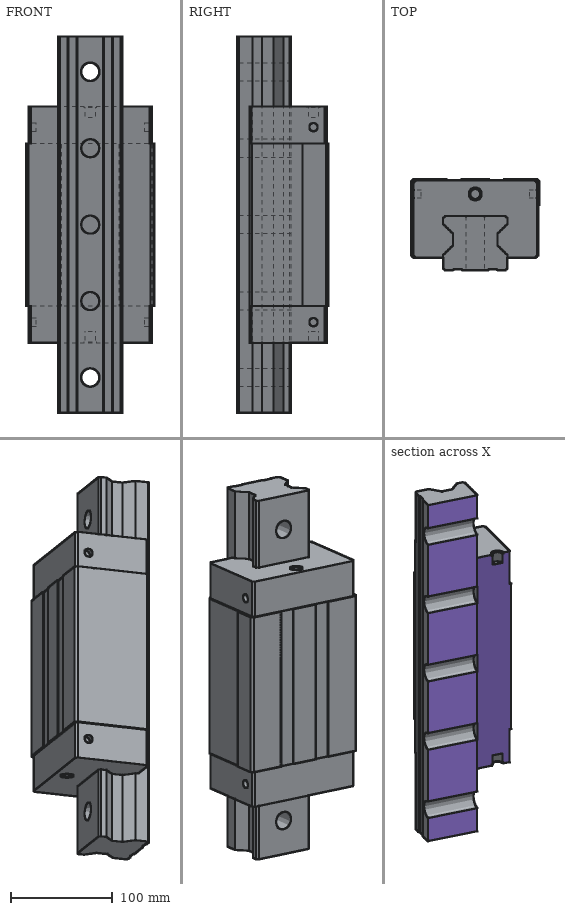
import cadquery as cq


RAIL_LENGTH = 370.0
RAIL_WIDTH = 63.0
RAIL_HEIGHT = 53.3
RAIL_CHAMFER = 2.0
NECK_WIDTH = 43.3
FLANK_BOTTOM = 15.0
NECK_BOTTOM = 24.8
NECK_TOP = 36.0
FLANK_TOP = 45.5

RAIL_GROOVE_OFFSET = 17.5
RAIL_GROOVE_WIDTH = 9.5
RAIL_GROOVE_DEPTH = 0.92

BOLT_HOLE_DIAMETER = 17.8
BOLT_HOLE_COUNT = 5
BOLT_HOLE_PITCH = 75.0

CARRIAGE_BOTTOM = 12.2
CARRIAGE_TOP = 90.0
CARRIAGE_LENGTH = 232.5

BLOCK_WIDTH = 126.0
BLOCK_LENGTH = 160.0
BLOCK_CHAMFER = 2.5

CAP_INSET = 1.5
CAP_WIDTH = 121.5
CAP_CHAMFER = 2.2

TOP_GROOVE_OFFSET = 20.7
TOP_GROOVE_WIDTH = 14.8
TOP_GROOVE_DEPTH = 1.0

RELIEF_DEPTH = 1.0
RELIEF_TOP = 64.5

PORT_Y = 75.0
END_PORT_DIAMETER = 10.0
END_PORT_RIM_DIAMETER = 12.5
END_PORT_RIM_DEPTH = 1.0
END_PORT_DEPTH = 11.0
SIDE_PORT_DIAMETER = 8.0
SIDE_PORT_DEPTH = 7.5
SIDE_PORT_Z = 96.0

SIDES = (-1, 1)


def bar(x_center, width, bottom, top, length):
    """Rectangular bar along Z, centred on Z = 0, between two Y levels."""
    section = cq.Workplane("XY").center(x_center, (bottom + top) / 2).rect(width, top - bottom)
    return section.extrude(length / 2, both=True)


def rail_profile(length):
    """Solid rail section with waisted flanks, without grooves or holes."""
    half_width = RAIL_WIDTH / 2
    half_neck = NECK_WIDTH / 2
    right_side = [
        (half_width - RAIL_CHAMFER, 0),
        (half_width, RAIL_CHAMFER),
        (half_width, FLANK_BOTTOM),
        (half_neck, NECK_BOTTOM),
        (half_neck, NECK_TOP),
        (half_width, FLANK_TOP),
        (half_width, RAIL_HEIGHT - RAIL_CHAMFER),
        (half_width - RAIL_CHAMFER, RAIL_HEIGHT),
    ]
    left_side = [(-x, y) for x, y in reversed(right_side)]
    return cq.Workplane("XY").polyline(right_side + left_side).close().extrude(length / 2, both=True)


def rail_groove(x_center):
    """Shallow groove with 45 degree walls along the mounting face of the rail."""
    half_mouth = RAIL_GROOVE_WIDTH / 2
    half_floor = half_mouth - RAIL_GROOVE_DEPTH
    outline = [
        (x_center - half_mouth, 0),
        (x_center + half_mouth, 0),
        (x_center + half_floor, RAIL_GROOVE_DEPTH),
        (x_center - half_floor, RAIL_GROOVE_DEPTH),
    ]
    return cq.Workplane("XY").polyline(outline).close().extrude(RAIL_LENGTH / 2, both=True)


def make_rail():
    rail = rail_profile(RAIL_LENGTH)
    for side in SIDES:
        rail = rail.cut(rail_groove(side * RAIL_GROOVE_OFFSET))
    bolt_holes = (
        cq.Workplane("XZ")
        .rarray(3.7, BOLT_HOLE_PITCH, 1, BOLT_HOLE_COUNT)
        .circle(BOLT_HOLE_DIAMETER / 2)
        .extrude(-RAIL_HEIGHT)
    )
    return rail.cut(bolt_holes)


def make_block():
    """Middle steel block of the carriage, with its relieved side and top grooves."""
    block = bar(0, BLOCK_WIDTH, CARRIAGE_BOTTOM, CARRIAGE_TOP, BLOCK_LENGTH)
    relief_x = (BLOCK_WIDTH - RELIEF_DEPTH) / 2
    block = block.cut(bar(relief_x, RELIEF_DEPTH, CARRIAGE_BOTTOM, RELIEF_TOP, BLOCK_LENGTH))
    block = block.edges("|Z").edges("<Y or >Y").chamfer(BLOCK_CHAMFER)
    groove_floor = CARRIAGE_TOP - TOP_GROOVE_DEPTH
    for side in SIDES:
        groove_x = side * TOP_GROOVE_OFFSET
        block = block.cut(bar(groove_x, TOP_GROOVE_WIDTH, groove_floor, CARRIAGE_TOP, BLOCK_LENGTH))
    return block


def end_port(end):
    """Stepped port going into an end face; end is the sign of Z."""
    face = cq.Workplane("XY", origin=(0, PORT_Y, end * CARRIAGE_LENGTH / 2))
    bore = face.circle(END_PORT_DIAMETER / 2).extrude(-end * END_PORT_DEPTH)
    rim = face.circle(END_PORT_RIM_DIAMETER / 2).extrude(-end * END_PORT_RIM_DEPTH)
    return bore.union(rim)


def side_port(side, end):
    """Blind port going into a side of an end cap; side is the sign of X, end of Z."""
    face = cq.Workplane("YZ", origin=(side * CAP_WIDTH / 2, PORT_Y, end * SIDE_PORT_Z))
    return face.circle(SIDE_PORT_DIAMETER / 2).extrude(-side * SIDE_PORT_DEPTH)


def make_carriage():
    caps = bar(0, CAP_WIDTH, CARRIAGE_BOTTOM, CARRIAGE_TOP - CAP_INSET, CARRIAGE_LENGTH)
    caps = caps.edges("|Z").chamfer(CAP_CHAMFER)
    carriage = caps.union(make_block())
    for end in SIDES:
        carriage = carriage.cut(end_port(end))
        for side in SIDES:
            carriage = carriage.cut(side_port(side, end))
    return carriage.cut(rail_profile(RAIL_LENGTH))


rail = make_rail()
carriage = make_carriage()
result = cq.Compound.makeCompound([rail.val(), carriage.val()])